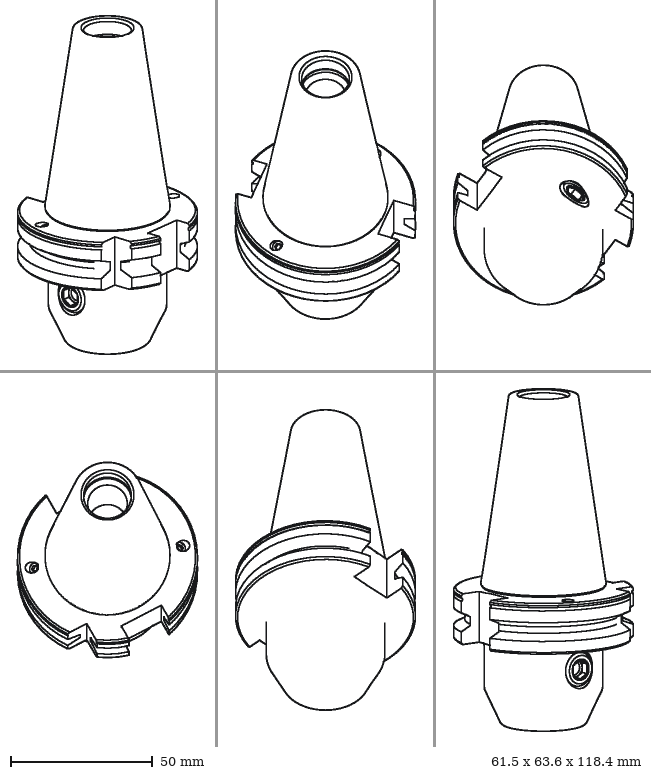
import cadquery as cq
import math

TOTAL_HEIGHT = 118.4
FLANGE_BOTTOM_Z = 30.9
FLANGE_TOP_Z = 49.1
GAUGE_Z = 50.0
TAPER_BASE_Z = 51.1

GAUGE_RADIUS = 22.3
TAPER_SLOPE = 7 / 24 / 2
TAPER_END_FILLET = 1.0

RELIEF_DEPTH = 0.5
RELIEF_UPPER_Z = 50.2
RELIEF_FLOOR_TOP_Z = 49.8
RELIEF_FLOOR_BOTTOM_Z = 49.6
RELIEF_FOOT_RADIUS = 22.5

FLANGE_DIAMETER = 63.6
FLANGE_RADIUS = FLANGE_DIAMETER / 2
FLANGE_CHAMFER = 0.7
CUT_RADIUS = FLANGE_RADIUS + 1.2
GRIP_Z = 39.0
GRIP_FLOOR_RADIUS = 27.8
GRIP_FLOOR_WIDTH = 3.1
GRIP_MOUTH_WIDTH = 6.7
GRIP_FILLET = 0.6
RING_GROOVE_Z = 47.1
RING_GROOVE_WIDTH = 1.2
RING_GROOVE_DEPTH = 0.53

DRIVE_SLOT_WIDTH = 16.1
SLOT_FLOOR_NEG_X = 22.7
SLOT_FLOOR_POS_X = 25.0
NOTCH_X = 18.4
NOTCH_Y = 18.4

NOSE_RADIUS = 21.0
NOSE_CONE_TOP_Z = 12.9
NOSE_CONE_ANGLE = 25.0
NOSE_ROOT_FILLET = 2.8
NOSE_SHOULDER_FILLET = 2.5
NOSE_END_FILLET = 2.0

BORE_RADIUS = 8.4
BORE_DEPTH = 5.8
BORE_CHAMFER = 1.0
UNDERCUT_RADIUS = 8.8
UNDERCUT_TOP_DEPTH = 6.6
UNDERCUT_BOTTOM_DEPTH = 8.2
THREAD_RADIUS = 7.0
THREAD_START_DEPTH = 10.0
THREAD_END_DEPTH = 32.0
DRILL_POINT_HALF_ANGLE = 59.0

CLAMP_Z = 22.6
CLAMP_RADIUS = 6.0
CLAMP_SINK_RADIUS = 6.7
CLAMP_SINK_DEPTH = 1.0
CLAMP_HOLE_DEPTH = 5.9
CLAMP_SCREW_CHAMFER = 1.0
SOCKET_WIDTH = 6.0
SOCKET_MOUTH_RADIUS = 3.8
SOCKET_DEPTH = 3.0
SOCKET_FLOOR_RADIUS = 2.4
SOCKET_FLOOR_DEPTH = 3.5

COOLANT_RADIUS = 2.0
COOLANT_CIRCLE_RADIUS = 27.0
COOLANT_BEARING = 20.0
COOLANT_TILT = 30.0
COOLANT_PLUG_DEPTH = 1.9
COOLANT_SOCKET_WIDTH = 2.0
COOLANT_SOCKET_DEPTH = 1.2


def taper_radius(z):
    return GAUGE_RADIUS - TAPER_SLOPE * (z - GAUGE_Z)


def revolve(profile):
    """Turn a closed (radius, Z) profile about the Z axis."""
    return profile.close().revolve(360, (0, 0, 0), (0, 1, 0))


def circle_edges_at(radius, z):
    """Select the edges of the turned body that pass through a given radius and height."""
    margin = 0.02
    reach = radius + margin
    low_corner = (-reach, -reach, z - margin)
    high_corner = (reach, reach, z + margin)
    return cq.selectors.BoxSelector(low_corner, high_corner, boundingbox=True)


def turned_body():
    base_radius = taper_radius(TAPER_BASE_Z)
    relief_radius = base_radius - RELIEF_DEPTH
    nose_end_radius = NOSE_RADIUS - NOSE_CONE_TOP_Z * math.tan(math.radians(NOSE_CONE_ANGLE))
    profile = (
        cq.Workplane("YZ")
        .lineTo(nose_end_radius, 0)
        .lineTo(NOSE_RADIUS, NOSE_CONE_TOP_Z)
        .lineTo(NOSE_RADIUS, FLANGE_BOTTOM_Z)
        .lineTo(FLANGE_RADIUS, FLANGE_BOTTOM_Z)
        .lineTo(FLANGE_RADIUS, FLANGE_TOP_Z)
        .lineTo(RELIEF_FOOT_RADIUS, FLANGE_TOP_Z)
        .lineTo(relief_radius, RELIEF_FLOOR_BOTTOM_Z)
        .lineTo(relief_radius, RELIEF_FLOOR_TOP_Z)
        .lineTo(base_radius, RELIEF_UPPER_Z)
        .lineTo(base_radius, TAPER_BASE_Z)
        .lineTo(taper_radius(TOTAL_HEIGHT), TOTAL_HEIGHT)
        .lineTo(0, TOTAL_HEIGHT)
    )
    return (
        revolve(profile)
        .edges(circle_edges_at(nose_end_radius, 0))
        .fillet(NOSE_END_FILLET)
        .edges(circle_edges_at(NOSE_RADIUS, NOSE_CONE_TOP_Z))
        .fillet(NOSE_SHOULDER_FILLET)
        .edges(circle_edges_at(NOSE_RADIUS, FLANGE_BOTTOM_Z))
        .fillet(NOSE_ROOT_FILLET)
        .edges(circle_edges_at(taper_radius(TOTAL_HEIGHT), TOTAL_HEIGHT))
        .fillet(TAPER_END_FILLET)
        .edges(circle_edges_at(FLANGE_RADIUS, FLANGE_BOTTOM_Z))
        .chamfer(FLANGE_CHAMFER)
        .edges(circle_edges_at(FLANGE_RADIUS, FLANGE_TOP_Z))
        .chamfer(FLANGE_CHAMFER)
    )


def grip_groove():
    half_floor = GRIP_FLOOR_WIDTH / 2
    half_mouth = GRIP_MOUTH_WIDTH / 2
    profile = (
        cq.Workplane("YZ")
        .moveTo(FLANGE_RADIUS, GRIP_Z - half_mouth)
        .lineTo(GRIP_FLOOR_RADIUS, GRIP_Z - half_floor)
        .lineTo(GRIP_FLOOR_RADIUS, GRIP_Z + half_floor)
        .lineTo(FLANGE_RADIUS, GRIP_Z + half_mouth)
        .lineTo(CUT_RADIUS, GRIP_Z + half_mouth)
        .lineTo(CUT_RADIUS, GRIP_Z - half_mouth)
    )
    groove = revolve(profile)
    for side in (-1, 1):
        floor_corner = circle_edges_at(GRIP_FLOOR_RADIUS, GRIP_Z + side * half_floor)
        groove = groove.edges(floor_corner).fillet(GRIP_FILLET)
    return groove


def ring_groove():
    half_width = RING_GROOVE_WIDTH / 2
    profile = (
        cq.Workplane("YZ")
        .moveTo(FLANGE_RADIUS, RING_GROOVE_Z - half_width)
        .threePointArc(
            (FLANGE_RADIUS - RING_GROOVE_DEPTH, RING_GROOVE_Z),
            (FLANGE_RADIUS, RING_GROOVE_Z + half_width),
        )
        .lineTo(CUT_RADIUS, RING_GROOVE_Z + half_width)
        .lineTo(CUT_RADIUS, RING_GROOVE_Z - half_width)
    )
    return revolve(profile)


def block(x_range, y_range):
    """A cutter over the height of the flange, its root fillet and its relief."""
    bottom = FLANGE_BOTTOM_Z - NOSE_ROOT_FILLET
    corner = (x_range[0], y_range[0], bottom)
    size = (x_range[1] - x_range[0], y_range[1] - y_range[0], TAPER_BASE_Z - bottom)
    return cq.Workplane("XY").box(*size, centered=False).translate(corner)


def rim_cutouts():
    slot = (-DRIVE_SLOT_WIDTH / 2, DRIVE_SLOT_WIDTH / 2)
    return (
        block((-CUT_RADIUS, -SLOT_FLOOR_NEG_X), slot)
        .union(block((SLOT_FLOOR_POS_X, CUT_RADIUS), slot))
        .union(block((NOTCH_X, CUT_RADIUS), (-CUT_RADIUS, -NOTCH_Y)))
    )


def pull_stud_bore():
    point_height = THREAD_RADIUS / math.tan(math.radians(DRILL_POINT_HALF_ANGLE))
    profile = (
        cq.Workplane("YZ", origin=(0, 0, TOTAL_HEIGHT))
        .lineTo(BORE_RADIUS + BORE_CHAMFER, 0)
        .lineTo(BORE_RADIUS, -BORE_CHAMFER)
        .lineTo(BORE_RADIUS, -BORE_DEPTH)
        .lineTo(UNDERCUT_RADIUS, -UNDERCUT_TOP_DEPTH)
        .lineTo(UNDERCUT_RADIUS, -UNDERCUT_BOTTOM_DEPTH)
        .lineTo(THREAD_RADIUS, -THREAD_START_DEPTH)
        .lineTo(THREAD_RADIUS, -THREAD_END_DEPTH)
        .lineTo(0, -THREAD_END_DEPTH - point_height)
    )
    return revolve(profile)


def hexagon_prism(width, depth):
    """A hexagon socket sunk below Z = 0, with corners on the X axis."""
    return cq.Workplane("XY").polygon(6, width, circumscribed=True).extrude(-depth)


def cone_below(top_radius, bottom_radius, top_z, bottom_z):
    profile = (
        cq.Workplane("YZ")
        .moveTo(0, top_z)
        .lineTo(top_radius, top_z)
        .lineTo(bottom_radius, bottom_z)
        .lineTo(0, bottom_z)
    )
    return revolve(profile)


def place_on_nose(shape):
    """Turn a shape so that its +Z faces -Y and its origin lies on the nose surface at the clamp height."""
    return shape.rotate((0, 0, 0), (1, 0, 0), 90).translate((0, -NOSE_RADIUS, CLAMP_Z))


def clamp_hole():
    """Countersunk screw hole; the sink opens straight outwards where it runs into the root fillet."""
    hole = cq.Workplane("XY").circle(CLAMP_RADIUS).extrude(-CLAMP_HOLE_DEPTH)
    sink = cone_below(CLAMP_SINK_RADIUS, CLAMP_RADIUS, 0, -CLAMP_SINK_DEPTH)
    opening = cq.Workplane("XY").circle(CLAMP_SINK_RADIUS).extrude(FLANGE_RADIUS - NOSE_RADIUS)
    return place_on_nose(hole.union(sink).union(opening))


def clamp_screw():
    """Chamfered screw with a hexagon socket, its face level with the front of the nose."""
    socket_corner = SOCKET_WIDTH / math.sqrt(3)
    screw = (
        cq.Workplane("XY")
        .circle(CLAMP_RADIUS)
        .extrude(-CLAMP_HOLE_DEPTH)
        .faces(">Z")
        .chamfer(CLAMP_SCREW_CHAMFER)
    )
    mouth = cone_below(SOCKET_MOUTH_RADIUS, socket_corner, 0, socket_corner - SOCKET_MOUTH_RADIUS)
    socket = hexagon_prism(SOCKET_WIDTH, SOCKET_DEPTH)
    socket_floor = cone_below(SOCKET_WIDTH / 2, SOCKET_FLOOR_RADIUS, -SOCKET_DEPTH, -SOCKET_FLOOR_DEPTH)
    return place_on_nose(screw.cut(mouth).cut(socket).cut(socket_floor))


def coolant_hole():
    """One plugged hole in the flange top near +Y, leaning towards the axis as it goes down."""
    bore = cq.Workplane("XY").workplane(offset=COOLANT_RADIUS).circle(COOLANT_RADIUS)
    bore = bore.extrude(-COOLANT_PLUG_DEPTH - COOLANT_RADIUS)
    socket = hexagon_prism(COOLANT_SOCKET_WIDTH, COOLANT_SOCKET_DEPTH).translate((0, 0, -COOLANT_PLUG_DEPTH))
    return (
        bore.union(socket)
        .rotate((0, 0, 0), (1, 0, 0), -COOLANT_TILT)
        .translate((0, COOLANT_CIRCLE_RADIUS, FLANGE_TOP_Z))
        .rotate((0, 0, 0), (0, 0, 1), -COOLANT_BEARING)
    )


result = (
    turned_body()
    .cut(grip_groove())
    .cut(ring_groove())
    .cut(rim_cutouts())
    .cut(pull_stud_bore())
    .cut(clamp_hole())
    .union(clamp_screw())
)
for turn in (0, 180):
    result = result.cut(coolant_hole().rotate((0, 0, 0), (0, 0, 1), turn))